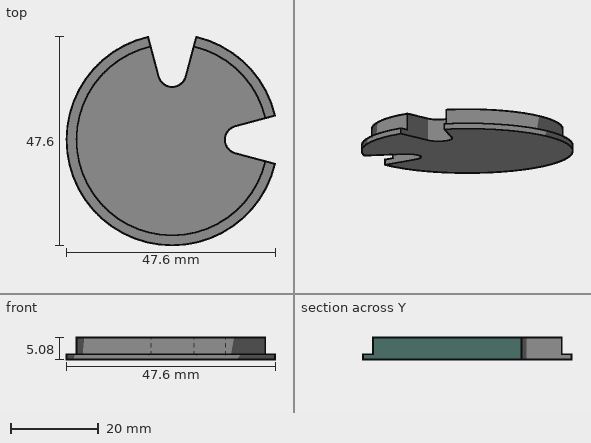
import cadquery as cq
import math

flange_radius = 24.13
flange_thickness = 1.27
body_radius = 21.84
total_height = 5.08

notch_end_radius = 3.175
notch_end_centre = 15.24
notch_half_angle = math.radians(15)
notch_overshoot = 2.0
notch_outer_reach = flange_radius + notch_overshoot
notch_directions = [0, 90]


def make_disc():
    flange = cq.Workplane("XY").circle(flange_radius).extrude(flange_thickness)
    body = cq.Workplane("XY").circle(body_radius).extrude(total_height)
    return flange.union(body)


def make_notch(direction):
    """Cutter along +X, turned to its direction; straight sides are tangent to the round end."""
    tangent_x = notch_end_centre - notch_end_radius * math.sin(notch_half_angle)
    tangent_y = notch_end_radius * math.cos(notch_half_angle)
    mouth_y = tangent_y + (notch_outer_reach - tangent_x) * math.tan(notch_half_angle)
    return (
        cq.Workplane("XY")
        .moveTo(notch_outer_reach, -mouth_y)
        .lineTo(tangent_x, -tangent_y)
        .threePointArc((notch_end_centre - notch_end_radius, 0), (tangent_x, tangent_y))
        .lineTo(notch_outer_reach, mouth_y)
        .close()
        .extrude(total_height)
        .rotate((0, 0, 0), (0, 0, 1), direction)
    )


result = make_disc()
for notch_direction in notch_directions:
    result = result.cut(make_notch(notch_direction))